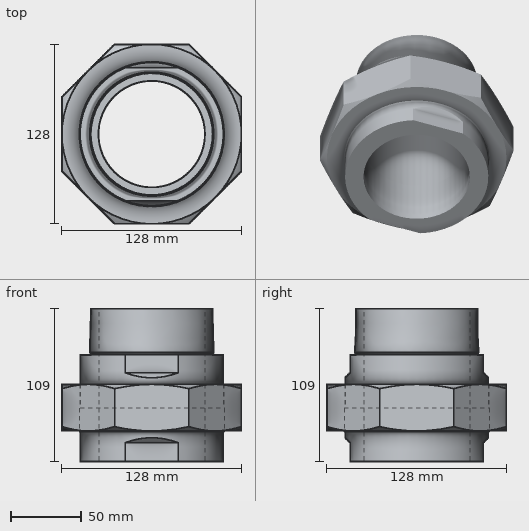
import cadquery as cq
import math

across_flats = 128.0
total_height = 109.0
bore_radius = 37.9

nut_sides = 8
nut_bottom = 21.9
nut_top = 55.0
nut_chamfer_angle = 30.0
nut_mid = (nut_bottom + nut_top) / 2

collar_radius = 51.1
nut_clearance = 0.4
collar_top = 76.0

seat_cone_height = 0.8
seat_radius = collar_radius + seat_cone_height

flat_distance = 47.5
lower_flat_height = 13.5
upper_flat_height = 12.7

spigot_top_radius = 43.4
spigot_base_radius = 44.3
groove_radius = 43.3
groove_height = 0.5
spigot_base = 77.8


def revolve_profile(points):
    """Turn a closed (radius, height) outline about the Z axis."""
    return cq.Workplane("XZ").polyline(points).close().revolve(360, (0, 0), (0, 1))


def cut_wrench_flats(body, end_height, flat_end):
    """Cut flats on the -Y and +Y sides from an end face to a sloping run-out."""
    runout = collar_radius - flat_distance
    inward = math.copysign(runout, flat_end - end_height)
    for side in (-1, 1):
        cutter = (
            cq.Workplane("YZ")
            .polyline([
                (side * flat_distance, end_height),
                (side * flat_distance, flat_end),
                (side * (flat_distance + 2 * runout), flat_end + 2 * inward),
                (side * (flat_distance + 2 * runout), end_height),
            ])
            .close()
            .extrude(collar_radius, both=True)
        )
        body = body.cut(cutter)
    return body


def make_nut():
    """Octagonal nut with its corners chamfered by a cone at both ends."""
    face_radius = across_flats / 2
    corner_radius = face_radius / math.cos(math.pi / nut_sides)
    chamfer_drop = (corner_radius - face_radius) * math.tan(math.radians(nut_chamfer_angle))
    octagon = (
        cq.Workplane("XY", origin=(0, 0, nut_bottom))
        .transformed(rotate=(0, 0, 180 / nut_sides))
        .polygon(nut_sides, 2 * corner_radius)
        .extrude(nut_top - nut_bottom)
    )
    inner_upper = collar_radius + nut_clearance
    envelope = revolve_profile([
        (seat_radius, nut_bottom),
        (face_radius, nut_bottom),
        (corner_radius, nut_bottom + chamfer_drop),
        (corner_radius, nut_top - chamfer_drop),
        (face_radius, nut_top),
        (inner_upper, nut_top),
        (inner_upper, nut_mid),
        (seat_radius, nut_mid),
    ])
    return octagon.intersect(envelope)


def make_lower_piece():
    """Lower end piece, reaching to the middle of the nut."""
    body = revolve_profile([
        (bore_radius, 0),
        (collar_radius, 0),
        (collar_radius, nut_bottom - seat_cone_height),
        (seat_radius, nut_bottom),
        (seat_radius, nut_mid),
        (bore_radius, nut_mid),
    ])
    return cut_wrench_flats(body, 0, lower_flat_height)


def make_upper_piece():
    """Upper end piece, standing on the lower one and ending in the spigot."""
    body = revolve_profile([
        (bore_radius, nut_mid),
        (collar_radius, nut_mid),
        (collar_radius, collar_top),
        (groove_radius, collar_top),
        (groove_radius, collar_top + groove_height),
        (spigot_base_radius, spigot_base),
        (spigot_top_radius, total_height),
        (bore_radius, total_height),
    ])
    return cut_wrench_flats(body, collar_top, collar_top - upper_flat_height)


nut = make_nut()
lower_piece = make_lower_piece()
upper_piece = make_upper_piece()

result = cq.Compound.makeCompound([nut.val(), lower_piece.val(), upper_piece.val()])